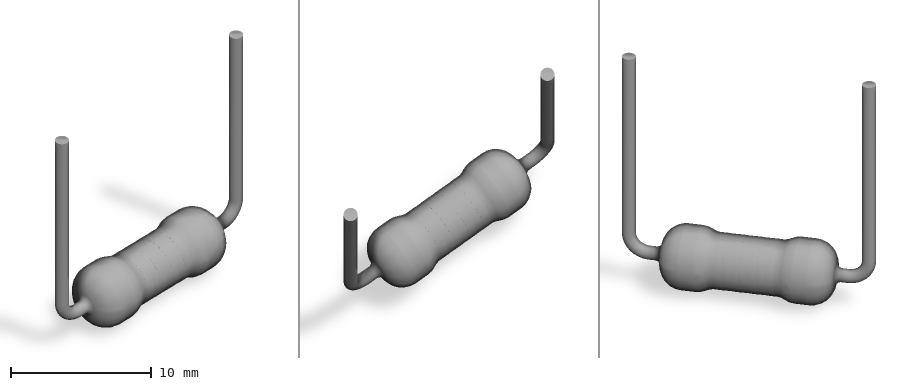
import cadquery as cq
import math


span = 18.5
lead_diameter = 1.0
lead_height = 16.0
bend_radius = 1.5

cap_diameter = 4.8
barrel_diameter = 4.09
band_diameter = 4.1
cap_shoulder_y = 4.68
cap_neck_y = 3.59
cap_round_radius = 1.66
flare_radius = 0.45

barrel_length = 4.4
band_count = 4
strip_count = 2 * band_count - 1
strip_width = barrel_length / strip_count

lead_radius = lead_diameter / 2
cap_radius = cap_diameter / 2
barrel_radius = barrel_diameter / 2
barrel_end_y = barrel_length / 2
lead_y = span / 2 - lead_radius

round_center_r = cap_radius - cap_round_radius
flare_center_r = lead_radius + flare_radius
center_distance = cap_round_radius + flare_radius
center_rise = flare_center_r - round_center_r
flare_end_y = cap_shoulder_y + math.sqrt(center_distance**2 - center_rise**2)
contact_angle = math.asin(center_rise / center_distance)


def point_on_arc(center_y, center_r, radius, angle):
    """Return (radial distance, Y) of an arc point, with angle measured from +Y."""
    return (center_r + radius * math.sin(angle), center_y + radius * math.cos(angle))


def make_cap():
    """Revolve the +Y cap, with its neck and flare, about the Y axis."""
    round_mid_angle = (contact_angle + math.pi / 2) / 2
    round_mid = point_on_arc(cap_shoulder_y, round_center_r, cap_round_radius, round_mid_angle)
    contact = point_on_arc(cap_shoulder_y, round_center_r, cap_round_radius, contact_angle)
    flare_mid_angle = contact_angle / 2 - 3 * math.pi / 4
    flare_mid = point_on_arc(flare_end_y, flare_center_r, flare_radius, flare_mid_angle)
    neck_mid = ((cap_radius + barrel_radius) / 2, (cap_neck_y + barrel_end_y) / 2)
    neck_run = neck_mid[1] - barrel_end_y
    neck_rise = neck_mid[0] - barrel_radius
    neck_arc_radius = (neck_run**2 + neck_rise**2) / (2 * neck_rise)
    neck_inner_angle = math.asin(neck_run / neck_arc_radius) / 2 - math.pi / 2
    neck_inner_mid = point_on_arc(
        barrel_end_y, barrel_radius + neck_arc_radius, neck_arc_radius, neck_inner_angle
    )
    return (
        cq.Workplane("XY")
        .moveTo(0, barrel_end_y)
        .lineTo(barrel_radius, barrel_end_y)
        .threePointArc(neck_inner_mid, neck_mid)
        .tangentArcPoint((cap_radius, cap_neck_y), relative=False)
        .lineTo(cap_radius, cap_shoulder_y)
        .threePointArc(round_mid, contact)
        .threePointArc(flare_mid, (lead_radius, flare_end_y))
        .lineTo(0, flare_end_y)
        .close()
        .revolve(360, (0, 0, 0), (0, 1, 0))
    )


def make_strip(index):
    """Make one barrel strip; every other one is a slightly raised colour band."""
    start_y = -barrel_end_y + index * strip_width
    is_band = index % 2 == 0
    diameter = band_diameter if is_band else barrel_diameter
    return (
        cq.Workplane("XZ", origin=(0, start_y, 0))
        .circle(diameter / 2)
        .extrude(-strip_width)
    )


def make_lead():
    """Sweep the +Y lead out of the body, round the bend and up to its tip."""
    path = (
        cq.Workplane("YZ")
        .moveTo(flare_end_y, 0)
        .lineTo(lead_y - bend_radius, 0)
        .tangentArcPoint((lead_y, bend_radius), relative=False)
        .lineTo(lead_y, lead_height)
    )
    return cq.Workplane("XZ", origin=(0, flare_end_y, 0)).circle(lead_radius).sweep(path)


end = make_cap().union(make_lead())
result = make_strip(0)
for strip_index in range(1, strip_count):
    result = result.union(make_strip(strip_index))
result = result.union(end).union(end.mirror("XZ"))